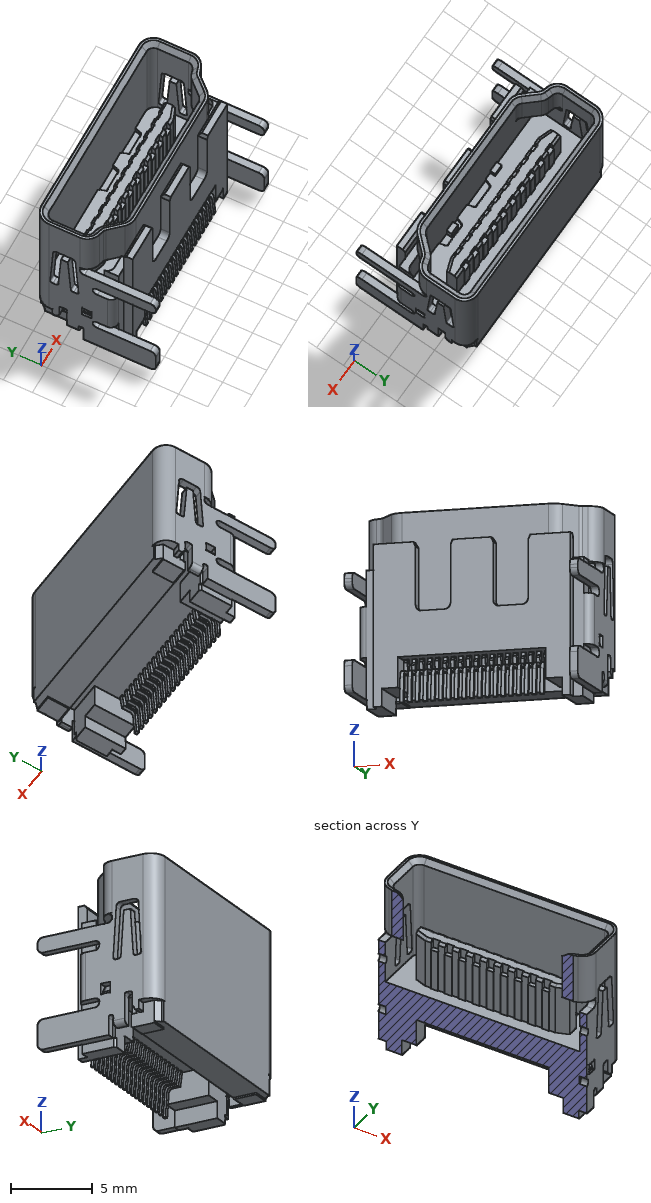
import cadquery as cq

width = 15.0
depth = 5.55
height = 12.15
wall = 0.52
half_width = width / 2
half_inside = half_width - wall
inner_back = depth - wall
back_radius = 1.0
front_radius = 0.51
inner_front_radius = 0.48
step_z = 8.68
back_bottom_z = 2.5
shoulder_y = 1.65
waist_x, waist_y = 6.36, 1.3
narrow_half_width = 5.18
waist_radius = 0.39
narrow_radius = 1.08
rim_land = 0.18
rim_chamfer = wall - rim_land

tab_end_y = -2.84
tab_root_y = 2.16
upper_tab_z = (7.05, 8.07)
lower_tab_z = (0.6, 2.62)
tab_end_radius = 0.4
relief_root_y = 1.52
upper_relief_root_y = 2.4
relief_height = step_z - upper_tab_z[1]

spring_bottom_z = 5.54
spring_window_top_z = 9.3
spring_window = ((4.45, 4.23), (2.48, 2.72))
spring_arm = ((3.9, 3.69), (3.02, 3.22))
spring_corner_radius = 0.3
spring_foot_radius = 0.18

hook_z = 1.9
hook_y = (3.81, 4.29)
hook_chamfer_y, hook_chamfer_z = 0.22, 0.32
latch_y = (2.49, 3.28)
latch_bottom_z = 1.15
latch_bend_radius = 0.35
latch_slot_top_z = 3.2
slot_corner_radius = 0.15

nub_y = (1.6, 2.26)
nub_z = (3.42, 4.12)
nub_height = 0.38
nub_flat = 0.2
nub_gap = 0.06

plate_half_width = 6.32
plate_thickness = 0.63
plate_top_z = 10.15
plate_bottom_z = 1.12
plate_top_chamfer_y, plate_top_chamfer_z = 0.2, 0.24
notch_center_x = 2.49
notch_width = 2.25
notch_bottom_z = 5.84
notch_radius = 0.39
notch_corner_x, notch_corner_z = 0.14, 0.3

floor_z = 5.1
base_z = 3.03
channel_y = (2.34, 3.45)
leg_half_width = 6.93
leg_inner_x = 5.79
leg_chamfer = 0.14
floor_corner_radius = 0.66
floor_corner_depth = 0.15
pin_window_half_width = 4.74
rear_y = 5.42
rear_chamfer = 0.35
foot_z = 1.0
foot_chamfer = 0.09
side_recess = 0.15
wall_overlap = wall / 2

pocket_depth = 0.3
pocket_step = 0.15
pocket_tip_radius = 0.3
pocket_reach = 0.51
pocket_width = 1.98
pocket_taper = 0.16
back_pocket_x = (1.0, 4.0)
front_pocket_x = (-0.5, 2.52)
post_center_x = 2.32
post_width = 0.69
post_depth = 0.38
post_height = 0.45

tongue_half_width = 5.52
tongue_y = (2.25, 3.3)
tongue_bevel_x, tongue_bevel_y = 0.84, 0.3
tongue_tip_chamfer = 0.18
contact_width = 0.51
contact_thickness = 0.3
contact_rise = 0.06
contact_top_z = 8.02
back_contacts = 10
front_contacts = 9
back_row_length = 9.0
contact_pitch = back_row_length / (back_contacts - 1)

pin_count = back_contacts + front_contacts
pin_pitch = contact_pitch / 2
pin_width = 0.24
pin_front_y = -0.69
pin_slant = 0.1
pin_bottom_z = 0.16
pin_thickness = 0.2
pin_bend_top_z = 2.24
pin_bend_radius = 0.45
pin_riser_y = 0.22
pin_lean = 0.09
pin_ledge_z = (2.79, 2.62)
pin_ledge = 0.16


def box(x, y, z):
    """Box between two limits along each axis."""
    size = (x[1] - x[0], y[1] - y[0], z[1] - z[0])
    return cq.Workplane("XY").box(*size, centered=False).translate((x[0], y[0], z[0]))


def centered_box(half, y, z):
    return box((-half, half), y, z)


def both_sides(solid):
    """A feature and its mirror image across the YZ plane."""
    return solid.union(solid.mirror("YZ"))


def side_sheet(points):
    """Sheet as thick as the side wall, at +X, from an outline in Y and Z."""
    return cq.Workplane("YZ", origin=(half_inside, 0, 0)).polyline(points).close().extrude(wall)


def side_box(y, z):
    return box((half_inside, half_width), y, z)


def rounded_box(half, y, z, front_corner, back_corner):
    """Box with its upright corners rounded, front and back differently."""
    block = centered_box(half, y, z)
    return block.edges("|Z and <Y").fillet(front_corner).edges("|Z and >Y").fillet(back_corner)


def mouth_trims():
    """What the D shape removes from the front of the upper outside and of the upper cavity."""
    right = [
        (half_width, depth),
        (half_width, shoulder_y),
        (waist_x, waist_y),
        (narrow_half_width, 0),
    ]
    left = [(-x, y) for x, y in reversed(right)]
    tube_height = height - step_z
    filled = cq.Workplane("XY", origin=(0, 0, step_z)).polyline(right + left).close().extrude(tube_height)
    radii = (back_radius, waist_radius, narrow_radius)
    for (x, y), radius in zip(right[1:], radii):
        for corner_x in (-x, x):
            corner = cq.selectors.NearestToPointSelector((corner_x, y, step_z + tube_height / 2))
            filled = filled.edges("|Z").edges(corner).fillet(radius)
    opening = filled.faces("<Z").wires().toPending().offset2D(-wall).extrude(tube_height, combine=False)
    front_half = centered_box(half_width, (0, depth / 2), (step_z, height))
    return front_half.cut(filled), front_half.cut(opening)


def tube():
    """Shell walls before the side cuts: boxy below, D-shaped above, with a lead-in chamfer at the rim."""
    outside_trim, opening_trim = mouth_trims()
    outside = rounded_box(half_width, (0, depth), (0, height), front_radius, back_radius)
    inside = rounded_box(
        half_inside, (wall, inner_back), (0, height), inner_front_radius, back_radius - wall
    )
    walls = outside.cut(outside_trim).cut(inside.cut(opening_trim))
    rim = walls.faces(">Z").val().innerWires()[0].Edges()
    walls = walls.newObject(rim).chamfer(rim_chamfer)
    below_tabs = centered_box(half_inside, (0, depth), (0, lower_tab_z[0]))
    below_front = centered_box(leg_inner_x, (0, wall), (0, plate_bottom_z))
    pin_window = centered_box(pin_window_half_width, (0, wall), (0, base_z))
    below_back = centered_box(half_width, (hook_y[1], depth), (0, back_bottom_z))
    for cut in (below_tabs, below_front, pin_window, below_back):
        walls = walls.cut(cut)
    return walls


def side_lower_cut():
    """Space below the stepped lower edge of a side wall."""
    hook_front, hook_back = hook_y
    latch_front, latch_back = latch_y
    below = side_box((0, hook_back), (0, lower_tab_z[0]))
    below = below.union(side_box((tab_root_y, hook_back), (0, latch_bottom_z)))
    latch_slot = side_box((latch_back, hook_front), (0, latch_slot_top_z))
    tab_slot = side_box((tab_root_y, latch_front), (0, hook_z))
    for slot in (latch_slot, tab_slot):
        below = below.union(slot.edges("|X and >Z").fillet(slot_corner_radius))
    hook = [
        (hook_back, 0),
        (hook_back, hook_z),
        (hook_front + hook_chamfer_y, hook_z),
        (hook_front, hook_z + hook_chamfer_z),
        (hook_front, 0),
    ]
    return below.union(side_sheet(hook))


def latch_bend():
    """Space outside the rounded lower end of the latch."""
    block_z = (latch_bottom_z, latch_bottom_z + latch_bend_radius)
    block_x = (half_width - latch_bend_radius, half_width)
    block = box(block_x, latch_y, block_z)
    bend = cq.Workplane("XZ", origin=(block_x[0], latch_y[1], block_z[1])).circle(latch_bend_radius)
    return block.cut(bend.extrude(latch_y[1] - latch_y[0]))


def spring_cut():
    """Window around a spring arm."""
    (back_low, back_high), (front_low, front_high) = spring_window
    window = side_sheet(
        [
            (back_low, spring_bottom_z),
            (back_high, spring_window_top_z),
            (front_high, spring_window_top_z),
            (front_low, spring_bottom_z),
        ]
    )
    window = window.edges("|X and >Z").fillet(spring_corner_radius)
    (arm_back_low, arm_back_high), (arm_front_low, arm_front_high) = spring_arm
    arm = side_sheet(
        [
            (arm_back_low, spring_bottom_z),
            (arm_back_high, step_z),
            (arm_front_high, step_z),
            (arm_front_low, spring_bottom_z),
        ]
    )
    return window.cut(arm).edges("|X and <Z").fillet(spring_foot_radius)


def relief(root_y, bottom_z):
    """Round-ended slot beside a tab, open to the front."""
    radius = relief_height / 2
    center = (root_y - radius, bottom_z + radius)
    slot = side_box((0, center[0]), (bottom_z, bottom_z + relief_height))
    end = cq.Workplane("YZ", origin=(half_inside, 0, 0)).center(*center).circle(radius).extrude(wall)
    return slot.union(end)


def side_tab(root_y, z):
    """Tab that runs forward from the side wall."""
    return side_box((tab_end_y, root_y), z).edges("|X and <Y").fillet(tab_end_radius)


def nub():
    """Sloped snap nub of the housing, standing in its window."""
    front, back = nub_y
    bottom, top = nub_z
    profile = [
        (half_inside, bottom),
        (half_inside + nub_height, bottom),
        (half_inside + nub_height, bottom + nub_flat),
        (half_inside, top),
    ]
    blank = cq.Workplane("XZ", origin=(0, back - nub_gap, 0)).polyline(profile).close()
    return blank.extrude(back - front - 2 * nub_gap)


def shell():
    cuts = (
        side_lower_cut(),
        latch_bend(),
        spring_cut(),
        relief(upper_relief_root_y, upper_tab_z[1]),
        relief(relief_root_y, upper_tab_z[0] - relief_height),
        relief(relief_root_y, lower_tab_z[1]),
        side_box(nub_y, nub_z),
    )
    walls = tube()
    for cut in cuts:
        walls = walls.cut(both_sides(cut))
    walls = walls.union(both_sides(side_tab(relief_root_y, upper_tab_z)))
    return walls.union(both_sides(side_tab(tab_root_y, lower_tab_z)))


def plate():
    """Front plate with two notches from its upper edge, before the space between the legs is cut."""
    chamfer_start_z = plate_top_z - plate_top_chamfer_z
    profile = [
        (-plate_thickness, 0),
        (-plate_thickness, plate_top_z),
        (-plate_top_chamfer_y, plate_top_z),
        (0, chamfer_start_z),
        (0, 0),
    ]
    sheet = cq.Workplane("YZ", origin=(-plate_half_width, 0, 0)).polyline(profile).close()
    sheet = sheet.extrude(2 * plate_half_width)
    for center in (-notch_center_x, notch_center_x):
        half = notch_width / 2
        x = (center - half, center + half)
        notch = box(x, (-plate_thickness, 0), (notch_bottom_z, plate_top_z))
        notch = notch.edges("|Y and <Z").fillet(notch_radius)
        flare = [
            (x[0], plate_top_z - notch_corner_z),
            (x[0] - notch_corner_x, plate_top_z),
            (x[1] + notch_corner_x, plate_top_z),
            (x[1], plate_top_z - notch_corner_z),
        ]
        flare = cq.Workplane("XZ").polyline(flare).close().extrude(plate_thickness)
        sheet = sheet.cut(notch).cut(flare)
    return sheet


def floor_pocket(center, wall_y, inward):
    """Stepped pocket in the floor against a wall, narrower away from it and rounded at depth."""
    half = pocket_width / 2
    tip_y = wall_y + inward * pocket_reach
    outline = [
        (center - half, wall_y),
        (center + half, wall_y),
        (center + half - pocket_taper, tip_y),
        (center - half + pocket_taper, tip_y),
    ]
    step = cq.Workplane("XY", origin=(0, 0, floor_z - pocket_step)).polyline(outline).close()
    deep = cq.Workplane("XY", origin=(0, 0, floor_z - pocket_depth)).polyline(outline).close()
    tip = "|Z and >Y" if inward > 0 else "|Z and <Y"
    deep = deep.extrude(pocket_depth).edges(tip).fillet(pocket_tip_radius)
    return step.extrude(pocket_step).union(deep)


def floor_block():
    """Block that closes the shell, with a looser rounded floor layer and pockets on top."""
    slab_top_z = floor_z - floor_corner_depth
    core = centered_box(half_inside, (wall - wall_overlap, inner_back + wall_overlap), (base_z, slab_top_z))
    floor = rounded_box(
        half_inside, (wall, inner_back), (slab_top_z, floor_z), floor_corner_radius, floor_corner_radius
    )
    core = core.union(floor)
    for center in back_pocket_x:
        core = core.cut(floor_pocket(center, inner_back, -1))
    for center in front_pocket_x:
        core = core.cut(floor_pocket(center, wall, 1))
    return core


def front_block():
    """Plate, legs and the frame around the solder pins."""
    front = centered_box(half_inside, (0, channel_y[0]), (lower_tab_z[0], base_z))
    legs = centered_box(leg_half_width, (0, channel_y[0]), (0, lower_tab_z[0]))
    front = front.union(legs.edges("|Z and >Y").chamfer(leg_chamfer))
    front = front.union(plate())
    whole_y = (-plate_thickness, channel_y[0])
    front = front.cut(centered_box(leg_inner_x, whole_y, (0, plate_bottom_z)))
    return front.cut(centered_box(pin_window_half_width, whole_y, (0, base_z)))


def rear_block():
    """Block under the back of the floor, with a lip below the back wall and a foot at each end."""
    rear = centered_box(half_inside, (channel_y[1], rear_y), (plate_bottom_z, base_z))
    rear = rear.edges("|Z and >Y").chamfer(rear_chamfer)
    lip_half_width = half_inside - rear_chamfer
    rear = rear.union(centered_box(lip_half_width, (inner_back, depth), (plate_bottom_z, back_bottom_z)))
    foot = box((leg_inner_x, half_inside), (channel_y[1], rear_y - rear_chamfer), (foot_z, base_z))
    rear = rear.union(both_sides(foot.edges("|X and <Z and <Y").chamfer(foot_chamfer)))
    recess_x = (half_inside - side_recess, half_inside)
    recess = box(recess_x, (channel_y[1], hook_y[0]), (hook_z, latch_slot_top_z))
    return rear.cut(both_sides(recess))


def posts():
    """Posts that rise from the floor along the front wall."""
    post_x = (post_center_x - post_width / 2, post_center_x + post_width / 2)
    post_y = (wall - wall_overlap, wall + post_depth)
    return both_sides(box(post_x, post_y, (base_z, floor_z + post_height)))


def housing():
    insulator = floor_block().union(front_block()).union(rear_block())
    return insulator.union(posts()).union(both_sides(nub()))


def contact_row(count, middle_y, top_z):
    """Evenly spaced upright blocks, centred across the tongue."""
    spots = cq.Workplane("XY", origin=(0, middle_y, base_z)).rarray(contact_pitch, 0.15, count, 1)
    return spots.rect(contact_width, contact_thickness).extrude(top_z - base_z)


def tongue():
    """Tongue with grooves for two rows of contacts."""
    front, back = tongue_y
    right = [
        (tongue_half_width, back),
        (tongue_half_width, front + tongue_bevel_y),
        (tongue_half_width - tongue_bevel_x, front),
    ]
    left = [(-x, y) for x, y in reversed(right)]
    blade = cq.Workplane("XY", origin=(0, 0, base_z)).polyline(right + left).close().extrude(step_z - base_z)
    blade = blade.faces(">Z").edges("not |Y").chamfer(tongue_tip_chamfer)
    inset = contact_thickness / 2 - contact_rise
    for count, y in ((back_contacts, back - inset), (front_contacts, front + inset)):
        blade = blade.cut(contact_row(count, y, step_z))
        blade = blade.union(contact_row(count, y, contact_top_z))
    return blade


def pin(center, ledge_z):
    """Solder pin: down from the housing, forward through a bend, then down to its end."""
    bend_y = pin_front_y + pin_slant
    inner_y = bend_y + pin_thickness
    under_z = pin_bend_top_z - pin_thickness
    inner_radius = pin_bend_radius - pin_thickness
    lean_y = pin_riser_y - pin_lean
    riser_back_y = pin_riser_y + pin_thickness
    top_z = base_z + pin_thickness
    profile = (
        cq.Workplane("YZ", origin=(center - pin_width / 2, 0, 0))
        .moveTo(pin_front_y, pin_bottom_z)
        .lineTo(bend_y, pin_bend_top_z - pin_bend_radius)
        .radiusArc((bend_y + pin_bend_radius, pin_bend_top_z), pin_bend_radius)
        .lineTo(pin_riser_y, pin_bend_top_z)
        .lineTo(lean_y, ledge_z)
        .lineTo(lean_y + pin_ledge, ledge_z + pin_ledge)
        .lineTo(lean_y + pin_ledge, top_z)
        .lineTo(riser_back_y + pin_ledge, top_z)
        .lineTo(riser_back_y, under_z)
        .lineTo(inner_y + inner_radius, under_z)
        .radiusArc((inner_y, under_z - inner_radius), -inner_radius)
        .lineTo(pin_front_y + pin_thickness, pin_bottom_z)
        .close()
    )
    return profile.extrude(pin_width)


pins = cq.Workplane("XY")
for index in range(pin_count):
    pin_x = (index - (pin_count - 1) / 2) * pin_pitch
    pins = pins.add(pin(pin_x, pin_ledge_z[index % 2]))

result = shell().union(housing()).union(tongue()).union(pins)